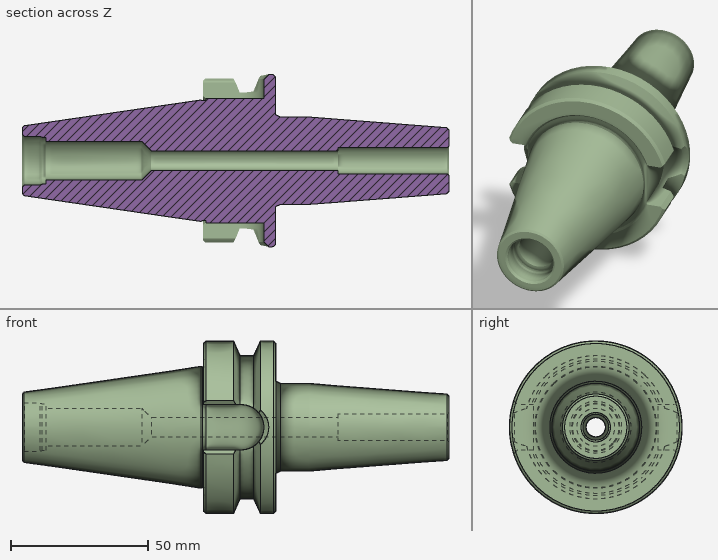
import cadquery as cq

total_length = 155.4

taper_end_x = 65.0
taper_large_radius = 22.2
taper_ratio = 7 / 24
taper_small_radius = taper_large_radius - taper_end_x * taper_ratio / 2
taper_chamfer = 0.6
relief_radius = 44.0 / 2
relief_start_x = 65.6

flange_front_x = 65.9
flange_back_x = 92.3
flange_radius = 63.0 / 2
flange_chamfer = 1.0
recess_depth = 1.0
recess_radius = 24.1
recess_mouth_radius = 24.9
groove_radius = 26.1
groove_outer_start_x = 77.0
groove_floor_start_x = 79.3
groove_floor_end_x = 84.2
groove_outer_end_x = 86.7

neck_radius = 32.0 / 2
neck_flare = 0.8
neck_start_x = 94.0
neck_root_radius = neck_radius + neck_flare
nose_start_x = 104.6
nose_tip_radius = 12.1
nose_chamfer = 0.8

bore_mouth_radius = 9.5
bore_mouth_depth = 0.8
pilot_radius = 17.5 / 2
pilot_depth = 6.4
thread_radius = 17.0 / 2
thread_start_x = 7.1
thread_end_x = 8.5
drill_radius = 13.8 / 2
drill_end_x = 43.5
through_radius = 7.0 / 2
drill_cone_length = drill_radius - through_radius
socket_radius = 9.5 / 2
socket_mouth_radius = 10.7 / 2
socket_depth = 40.4
socket_chamfer = socket_mouth_radius - socket_radius

slot_half_width = 8.2
slot_arc_x = 79.7
slot_floor = 22.7
wall_chamfer_start = 28.5
end_chamfer_start = 29.7
cut_clearance = 1.5
slot_top = flange_radius + cut_clearance


def revolve_about_x(points):
    """Turn an (x, radius) outline about the X axis."""
    return cq.Workplane("XY").polyline(points).close().revolve(360, (0, 0, 0), (1, 0, 0))


def make_body():
    return revolve_about_x([
        (0, 0),
        (0, taper_small_radius - taper_chamfer),
        (taper_chamfer, taper_small_radius + taper_chamfer * taper_ratio / 2),
        (taper_end_x, taper_large_radius),
        (relief_start_x, relief_radius),
        (flange_front_x + recess_depth, relief_radius),
        (flange_front_x + recess_depth, recess_radius),
        (flange_front_x, recess_mouth_radius),
        (flange_front_x, flange_radius - flange_chamfer),
        (flange_front_x + flange_chamfer, flange_radius),
        (groove_outer_start_x, flange_radius),
        (groove_floor_start_x, groove_radius),
        (groove_floor_end_x, groove_radius),
        (groove_outer_end_x, flange_radius),
        (flange_back_x - flange_chamfer, flange_radius),
        (flange_back_x, flange_radius - flange_chamfer),
        (flange_back_x, neck_root_radius),
        (neck_start_x, neck_radius),
        (nose_start_x, neck_radius),
        (total_length - nose_chamfer, nose_tip_radius),
        (total_length, nose_tip_radius - nose_chamfer),
        (total_length, 0),
    ])


def make_bore():
    return revolve_about_x([
        (0, 0),
        (0, bore_mouth_radius),
        (bore_mouth_depth, pilot_radius),
        (pilot_depth, pilot_radius),
        (thread_start_x, thread_radius),
        (thread_end_x, thread_radius),
        (thread_end_x, drill_radius),
        (drill_end_x, drill_radius),
        (drill_end_x + drill_cone_length, through_radius),
        (total_length - socket_depth, through_radius),
        (total_length - socket_depth, socket_radius),
        (total_length - socket_chamfer, socket_radius),
        (total_length, socket_mouth_radius),
        (total_length, 0),
    ])


def make_drive_slot():
    """Round-ended slot on the +Y side, open towards the taper, with 45-degree rim chamfers."""
    open_x = flange_front_x
    wall_rise = slot_top - wall_chamfer_start
    half_section = [
        (slot_floor, 0),
        (slot_floor, slot_half_width),
        (wall_chamfer_start, slot_half_width),
        (slot_top, slot_half_width + wall_rise),
        (slot_top, 0),
    ]
    mirrored_section = [(y, -z) for y, z in reversed(half_section[1:-1])]
    straight = (
        cq.Workplane("YZ", origin=(open_x, 0, 0))
        .polyline(half_section[1:-1] + mirrored_section).close()
        .extrude(slot_arc_x - open_x)
    )
    end_rise = slot_top - end_chamfer_start
    round_end = (
        cq.Workplane("XY")
        .polyline([
            (slot_arc_x, slot_floor),
            (slot_arc_x + slot_half_width, slot_floor),
            (slot_arc_x + slot_half_width, end_chamfer_start),
            (slot_arc_x + slot_half_width + end_rise, slot_top),
            (slot_arc_x, slot_top),
        ]).close()
        .revolve(360, (slot_arc_x, 0, 0), (slot_arc_x, 1, 0))
    )
    return straight.union(round_end)


drive_slot = make_drive_slot()
result = make_body().cut(make_bore()).cut(drive_slot).cut(drive_slot.mirror("XZ"))